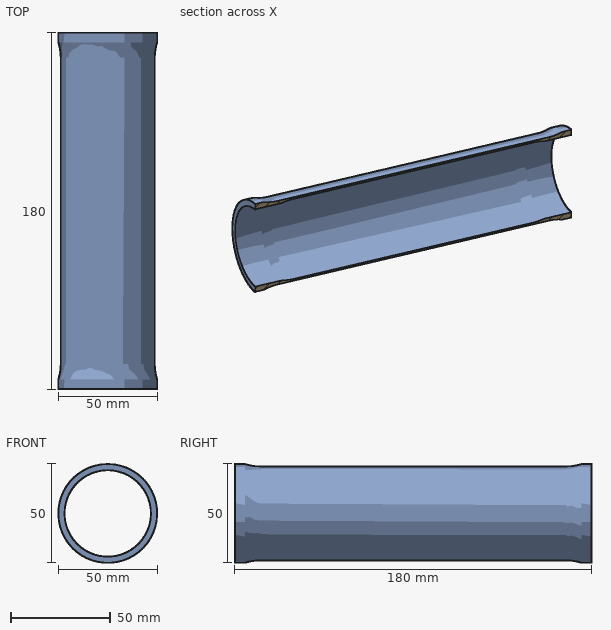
import cadquery as cq
import math

length = 180.0
collar_diameter = 50.0
tube_diameter = 47.6
mouth_bore_diameter = 43.5
middle_bore_diameter = 45.0
collar_length = 5.0
mouth_bore_depth = 15.0
blend_radius = 25.0

half_length = length / 2
collar_radius = collar_diameter / 2
tube_radius = tube_diameter / 2
mouth_bore_radius = mouth_bore_diameter / 2
middle_bore_radius = middle_bore_diameter / 2
collar_inner_y = half_length - collar_length
mouth_inner_y = half_length - mouth_bore_depth


def revolved(end_radius, step_y, middle_radius):
    """Solid of revolution about Y with ends of one radius and a middle of another.

    Inward of each step_y, an arc of blend_radius leads from the end radius
    to the middle radius, meeting the middle cylinder tangentially.
    """
    rise = end_radius - middle_radius
    angle = math.acos(1 - abs(rise) / blend_radius)
    tangent_y = step_y - blend_radius * math.sin(angle)
    arc_y = tangent_y + blend_radius * math.sin(angle / 2)
    arc_rise = math.copysign(blend_radius * (1 - math.cos(angle / 2)), rise)
    arc_radius = middle_radius + arc_rise
    profile = (
        cq.Workplane("YZ")
        .moveTo(-half_length, 0)
        .lineTo(-half_length, end_radius)
        .lineTo(-step_y, end_radius)
        .threePointArc((-arc_y, arc_radius), (-tangent_y, middle_radius))
        .lineTo(tangent_y, middle_radius)
        .threePointArc((arc_y, arc_radius), (step_y, end_radius))
        .lineTo(half_length, end_radius)
        .lineTo(half_length, 0)
        .close()
    )
    return profile.revolve(360, (0, 0, 0), (1, 0, 0))


outer_body = revolved(collar_radius, collar_inner_y, tube_radius)

bore = revolved(mouth_bore_radius, mouth_inner_y, middle_bore_radius)

result = outer_body.cut(bore)